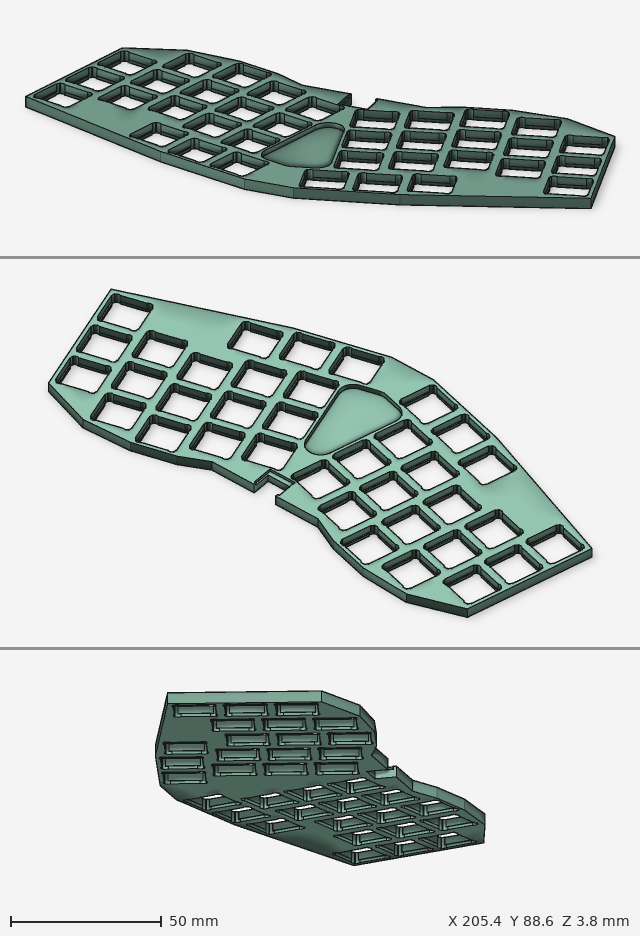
import cadquery as cq
import math

plate_thickness = 3.8
plate_width = 205.44
plate_depth = 88.58
half_width = plate_width / 2
half_depth = plate_depth / 2
tilt = 15.0
tilt_slope = math.tan(math.radians(tilt))

outer_corner_y = -12.07
outer_edge_top_y = 37.4
crown_outer_x = -69.1
crown_inner = (-49.7, 43.25)
shoulder_x = -33.4
bridge_top_x = -22.6
bridge_top_y = 33.7
bottom_flat_half_width = 8.9
bottom_bend_x = -43.5

key_pitch_v = 17.0
cutout_size_u = 13.9
cutout_size_v = 14.0
recess_size_u = 15.0
recess_size_v = 14.1
lip_thickness = 1.1
relief_radius = 1.5
relief_inset = 1.15

columns = [
    (-87.16, -29.58),
    (-69.16, -17.60),
    (-51.13, -13.60),
    (-33.15, -17.55),
    (-15.13, -19.60),
]
rows_per_column = 3
thumb_cutouts = [(-42.12, -34.58), (-24.13, -36.60), (-6.15, -36.60)]

pocket_depth = 1.8
pocket_radius = 5.4
pocket_top_y = 9.6
pocket_bottom_apex_y = -29.0

notch_half_width = 4.6
notch_bottom_y = 26.3
seat_half_width = 5.3
seat_top_y = 32.6
seat_bottom_y = 24.4
seat_depth = 1.0


def mirrored(half):
    return half + [(-x, y) for x, y in reversed(half)]


def plate():
    outer_edge_top_x = -half_width + (outer_edge_top_y - outer_corner_y) * tilt_slope
    shoulder_y = crown_inner[1] - (shoulder_x - crown_inner[0]) * tilt_slope
    bottom_bend_y = -half_depth + (-bottom_bend_x - bottom_flat_half_width) * tilt_slope
    left_half = [
        (-bottom_flat_half_width, -half_depth),
        (bottom_bend_x, bottom_bend_y),
        (-half_width, outer_corner_y),
        (outer_edge_top_x, outer_edge_top_y),
        (crown_outer_x, half_depth),
        crown_inner,
        (shoulder_x, shoulder_y),
        (bridge_top_x, bridge_top_y),
    ]
    return cq.Workplane("XY").polyline(mirrored(left_half)).close().extrude(plate_thickness)


def blocks(centres, size_u, size_v, bottom_z):
    return (
        cq.Workplane("XY")
        .workplane(offset=bottom_z)
        .pushPoints(centres)
        .rect(size_u, size_v)
        .extrude(plate_thickness - bottom_z)
    )


def corner_reliefs(centres):
    reach_u = cutout_size_u / 2 - relief_inset
    reach_v = cutout_size_v / 2 - relief_inset
    relief_centres = []
    for u, v in centres:
        for side_u in (-1, 1):
            for side_v in (-1, 1):
                relief_centres.append((u + side_u * reach_u, v + side_v * reach_v))
    return cq.Workplane("XY").pushPoints(relief_centres).circle(relief_radius).extrude(plate_thickness)


def cutouts():
    centres = list(thumb_cutouts)
    for u, v in columns:
        for row in range(rows_per_column):
            centres.append((u, v + row * key_pitch_v))
    span_u = cutout_size_u - 2 * relief_inset
    span_v = cutout_size_v - 2 * relief_inset
    openings = blocks(centres, cutout_size_u, cutout_size_v, 0)
    side_recesses = blocks(centres, recess_size_u, span_v, lip_thickness)
    end_recesses = blocks(centres, span_u, recess_size_v, lip_thickness)
    left = openings.union(side_recesses).union(end_recesses).union(corner_reliefs(centres))
    left = left.rotate((0, 0, 0), (0, 0, 1), -tilt)
    return left.union(left.mirror("YZ"))


def pocket():
    cos_tilt = math.cos(math.radians(tilt))
    sin_tilt = math.sin(math.radians(tilt))
    top_apex_y = pocket_top_y - pocket_radius + pocket_radius / sin_tilt
    kite_height = top_apex_y - pocket_bottom_apex_y
    corner_x = kite_height * sin_tilt * cos_tilt
    corner_y = pocket_bottom_apex_y + kite_height * sin_tilt**2
    kite = [
        (0, top_apex_y),
        (-corner_x, corner_y),
        (0, pocket_bottom_apex_y),
        (corner_x, corner_y),
    ]
    return (
        cq.Workplane("XY")
        .workplane(offset=plate_thickness - pocket_depth)
        .polyline(kite)
        .close()
        .extrude(pocket_depth)
        .edges("|Z")
        .fillet(pocket_radius)
    )


def notch():
    opening = (
        cq.Workplane("XY")
        .rect(2 * notch_half_width, 2 * (half_depth - notch_bottom_y))
        .extrude(plate_thickness)
        .translate((0, half_depth, 0))
    )
    seat = (
        cq.Workplane("XY")
        .rect(2 * seat_half_width, seat_top_y - seat_bottom_y)
        .extrude(seat_depth)
        .translate((0, (seat_top_y + seat_bottom_y) / 2, plate_thickness - seat_depth))
    )
    return opening.union(seat)


result = plate().cut(cutouts()).cut(pocket()).cut(notch())